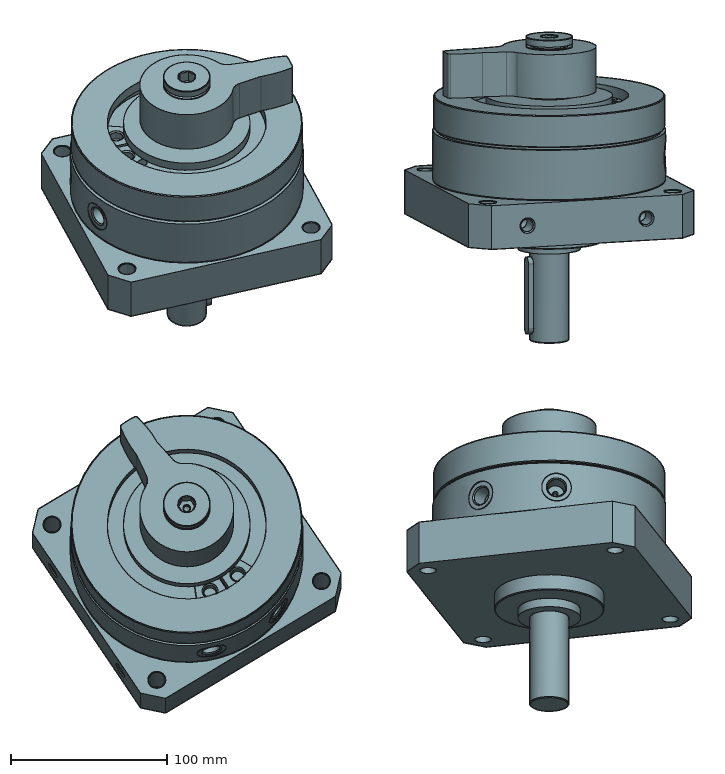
import cadquery as cq
import math

shaft_top = 197.4
groove_top = 192.9
groove_bottom = 191.3
lever_top = 190.7
lever_bottom = 162.0
cover_top = 159.1
cover_bottom = 138.2
body_top = 136.6
plate_top = 103.8
plate_bottom = 75.5
pilot_bottom = 65.1
shoulder_bottom = 59.5

plate_size = 152.0
plate_corner_cut = 11.6
mount_hole_offset = 62.4
mount_hole_dia = 10.5
mount_hole_rim_dia = 11.5
body_dia = 149.0
cover_dia = 147.9
seam_dia = 144.1
seat_dia = 147.9
seat_height = 0.5
pilot_dia = 70.0
edge_chamfer = 0.5

recess_dia = 101.5
lip_thickness = 7.0
cavity_dia = 109.8
cavity_depth = 13.8

stop_inner_radius = 35.5
stop_angle = 25.0
stop_gap = 1.8
stop_hole_radius = 45.5
stop_hole_x = 10.5
stop_hole_dia = 8.3
stop_hole_rim_dia = 10.0
stop_hole_depth = 6.0

port_angle = 20.0
port_z = (plate_top + body_top) / 2
port_seat_dia = 19.0
port_seat_depth = 0.8
port_dia = 11.5
port_rim_dia = 13.0
port_depth = 11.8
port_duct_dia = 3.5
port_duct_depth = 4.0

side_hole_y = 40.0
side_hole_z = (plate_top + plate_bottom) / 2
side_hole_dia = 8.3
side_hole_rim_dia = 10.0
side_hole_depth = 13.8

shaft_dia = 25.0
shoulder_dia = 40.0
disc_dia = 81.0
disc_thickness = 6.0
neck_dia = 35.0
lever_seat_dia = 30.0
groove_dia = 24.0
shaft_end_chamfer = 0.4
socket_flats = 10.0
socket_rim_dia = 11.5
socket_depth = 7.9
center_hole_dia = 4.1
center_hole_rim_dia = 5.0
center_hole_depth = 2.0

key_width = 8.0
key_length = 50.1
key_center_z = 29.8
key_inner_y = 8.5
key_outer_y = 15.4

lever_hub_dia = 60.0
tip_radius = 70.0
tip_half_width = 6.1
tip_fillet = 1.5
arm_bulge = (7.9, 58.2)
arm_kink = (7.9, 47.5)
arm_root = (10.7, 28.0)
arm_fillet = 7.9

drill_tip_angle = 118.0


def disc(diameter, bottom, top):
    """Upright cylinder on the Z axis."""
    return cq.Workplane("XY").workplane(offset=bottom).circle(diameter / 2).extrude(top - bottom)


def drill(plane, diameter, depth, rim_dia=None, pointed=False):
    """Drill shape sunk along -normal of the plane: bore, optional chamfered rim and conical tip."""
    radius = diameter / 2
    profile = [(0, 0)]
    if rim_dia:
        profile.append((rim_dia / 2, 0))
        profile.append((radius, radius - rim_dia / 2))
    else:
        profile.append((radius, 0))
    profile.append((radius, -depth))
    if pointed:
        depth += radius / math.tan(math.radians(drill_tip_angle / 2))
    profile.append((0, -depth))
    profile_plane = cq.Plane(origin=plane.origin, xDir=plane.xDir, normal=plane.xDir.cross(plane.zDir))
    return cq.Workplane(profile_plane).polyline(profile).close().revolve(360, (0, 0), (0, 1))


def make_stops():
    """Two mirrored stop blocks, each with a hole, on the cavity floor."""
    floor = cover_top - cavity_depth
    top = cover_top - lip_thickness
    reach = cavity_dia
    spread = reach * math.tan(math.radians(stop_angle))
    ring = disc(cavity_dia, floor, top).cut(disc(2 * stop_inner_radius, floor, top))
    wedge = (
        cq.Workplane("XY").workplane(offset=floor)
        .polyline([(0, 0), (spread, -reach), (-spread, -reach)]).close()
        .extrude(top - floor)
    )
    gap = cq.Workplane("XY").box(stop_gap, 2 * reach, 2 * cover_top)
    stops = ring.intersect(wedge).cut(gap)
    hole_y = -math.sqrt(stop_hole_radius**2 - stop_hole_x**2)
    for side in (-1, 1):
        plane = cq.Plane(origin=(side * stop_hole_x, hole_y, top))
        stops = stops.cut(drill(plane, stop_hole_dia, stop_hole_depth, stop_hole_rim_dia))
    return stops


def cut_port(housing, angle):
    """Radial air port: flat seat, chamfered bore and a small duct at its floor."""
    outward = cq.Vector(math.sin(math.radians(angle)), -math.cos(math.radians(angle)), 0)
    sideways = cq.Vector(0, 0, 1).cross(outward)
    axis_origin = cq.Vector(0, 0, port_z)
    seat_radius = body_dia / 2 - port_seat_depth

    def plane_at(radius):
        return cq.Plane(origin=axis_origin + outward * radius, xDir=sideways, normal=outward)

    housing = housing.cut(
        cq.Workplane(plane_at(seat_radius)).circle(port_seat_dia / 2).extrude(2 * port_seat_depth)
    )
    bore = drill(plane_at(seat_radius), port_dia, port_depth, port_rim_dia)
    duct = drill(plane_at(seat_radius - port_depth), port_duct_dia, port_duct_depth, pointed=True)
    return housing.cut(bore).cut(duct)


def make_housing():
    plate = (
        cq.Workplane("XY").workplane(offset=plate_bottom)
        .rect(plate_size, plate_size).extrude(plate_top - plate_bottom)
        .edges("|Z").chamfer(plate_corner_cut)
    )
    pilot = disc(pilot_dia, pilot_bottom, plate_bottom).faces("<Z").chamfer(edge_chamfer)
    cover = disc(cover_dia, cover_bottom, cover_top).faces("<Z or >Z").chamfer(edge_chamfer)
    housing = (
        plate.union(pilot)
        .union(disc(seat_dia, plate_top, plate_top + seat_height))
        .union(disc(body_dia, plate_top + seat_height, body_top))
        .union(disc(seam_dia, body_top, cover_bottom))
        .union(cover)
    )

    housing = housing.cut(disc(recess_dia, cover_top - lip_thickness, cover_top))
    housing = housing.cut(disc(cavity_dia, cover_top - cavity_depth, cover_top - lip_thickness))
    housing = housing.union(make_stops())
    housing = housing.cut(disc(shoulder_dia, pilot_bottom, cover_top))

    mount_plane = cq.Plane(origin=(0, 0, plate_top))
    mount_hole = drill(mount_plane, mount_hole_dia, plate_top - plate_bottom, mount_hole_rim_dia)
    for side_x in (-1, 1):
        for side_y in (-1, 1):
            corner = (side_x * mount_hole_offset, side_y * mount_hole_offset, 0)
            housing = housing.cut(mount_hole.translate(corner))

    for side in (-1, 1):
        plane = cq.Plane(
            origin=(-plate_size / 2, side * side_hole_y, side_hole_z), xDir=(0, 1, 0), normal=(-1, 0, 0)
        )
        housing = housing.cut(drill(plane, side_hole_dia, side_hole_depth, side_hole_rim_dia, pointed=True))

    for side in (-1, 1):
        housing = cut_port(housing, side * port_angle)
    return housing


def make_key():
    """Round-ended parallel key standing out of the shaft on the +Y side."""
    return (
        cq.Workplane("XZ", origin=(0, key_outer_y, key_center_z))
        .slot2D(key_length, key_width, 90)
        .extrude(key_outer_y - key_inner_y)
    )


def make_shaft(key):
    disc_bottom = cover_top - disc_thickness
    end = disc(lever_seat_dia, groove_top, shaft_top).faces(">Z").chamfer(shaft_end_chamfer)
    shaft = (
        disc(shaft_dia, 0, shoulder_bottom).faces("<Z").chamfer(edge_chamfer)
        .union(disc(shoulder_dia, shoulder_bottom, disc_bottom))
        .union(disc(disc_dia, disc_bottom, cover_top))
        .union(disc(neck_dia, cover_top, lever_bottom))
        .union(disc(lever_seat_dia, lever_bottom, groove_bottom))
        .union(disc(groove_dia, groove_bottom, groove_top))
        .union(end)
    )

    socket_corners_dia = socket_flats / math.cos(math.radians(30))
    socket = (
        cq.Workplane("XY").workplane(offset=shaft_top - socket_depth)
        .transformed(rotate=(0, 0, 90)).polygon(6, socket_corners_dia).extrude(socket_depth)
    )
    rim = drill(cq.Plane(origin=(0, 0, shaft_top)), socket_flats, socket_depth, socket_rim_dia)
    floor_plane = cq.Plane(origin=(0, 0, shaft_top - socket_depth))
    center_hole = drill(floor_plane, center_hole_dia, center_hole_depth, center_hole_rim_dia, pointed=True)
    return shaft.cut(socket).cut(rim).cut(center_hole).cut(key)


def make_lever():
    """Round hub with a waisted arm toward +Y."""
    def left(point):
        return (-point[0], point[1])

    height = lever_top - lever_bottom
    tip_corner = (tip_half_width, math.sqrt(tip_radius**2 - tip_half_width**2))
    arm = (
        cq.Workplane("XY").workplane(offset=lever_bottom)
        .moveTo(*arm_root).lineTo(*arm_kink)
        .threePointArc(arm_bulge, tip_corner)
        .threePointArc((0, tip_radius), left(tip_corner))
        .threePointArc(left(arm_bulge), left(arm_kink))
        .lineTo(*left(arm_root)).lineTo(0, 0).close()
        .extrude(height)
    )
    lever = disc(lever_hub_dia, lever_bottom, lever_top).union(arm)
    middle_z = lever_bottom + height / 2
    for corner, radius in ((arm_root, arm_fillet), (tip_corner, tip_fillet)):
        for x, y in (corner, left(corner)):
            nearest = cq.selectors.NearestToPointSelector((x, y, middle_z))
            lever = lever.edges("|Z").edges(nearest).fillet(radius)
    return lever.cut(disc(lever_seat_dia, lever_bottom, lever_top))


housing = make_housing()
key = make_key()
shaft = make_shaft(key)
lever = make_lever()

result = cq.Compound.makeCompound([housing.val(), shaft.val(), lever.val(), key.val()])